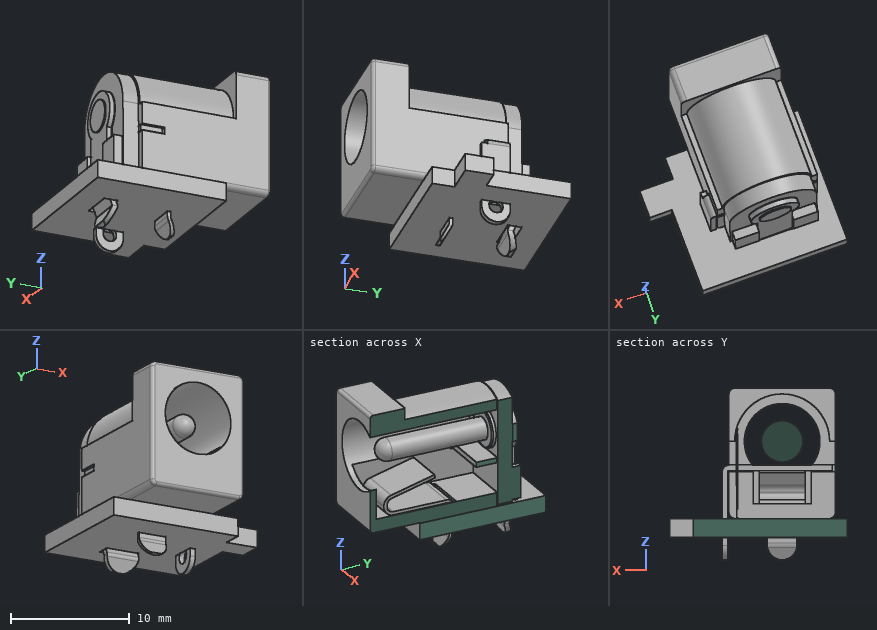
import cadquery as cq
import math


HOUSING_HALF_WIDTH = 4.5
HOUSING_LENGTH = 12.05
HOUSING_HEIGHT = 11.01
FLANGE_LENGTH = 3.3
BARREL_RADIUS = 4.0
AXIS_Z = 6.5
CORNER_RADIUS = 0.5
FRONT_EDGE_RADIUS = 0.3
BORE_RADIUS = 3.17

BOARD_THICKNESS = 1.6
BOARD_LEFT = -5.5
BOARD_REAR = 16.68
BOARD_LENGTH = 12.0
BOARD_REAR_WIDTH = 13.01
BOARD_FRONT_WIDTH = 12.0
TAB_REACH = 15.0
TAB_REAR = 9.17
TAB_FRONT = 6.67

CAP_RADIUS = 3.89
CAP_THICKNESS = 1.43
CAP_TILT = 0.6
CAP_FRONT = HOUSING_LENGTH + CAP_RADIUS * math.sin(math.radians(CAP_TILT))
CAP_BOTTOM = 0.12
LUG_BOTTOM = 0.3
LUG_TOP = 3.35
LUG_HALF_SPAN = 3.7
LUG_DEPTH = 0.8

PIN_RADIUS = 1.02
PIN_TIP_CENTRE = 2.59
SHOULDER_RADIUS = 1.77
SHOULDER_FRONT = 11.68
SHOULDER_REAR = 12.85
SHOULDER_CHAMFER = 0.12
RIVET_RADIUS = 1.42
RIVET_THICKNESS = 0.12

TERMINAL_THICKNESS = 0.5
TERMINAL_FRONT = 13.48
TERMINAL_REAR = TERMINAL_FRONT + TERMINAL_THICKNESS
TERMINAL_CENTRE = TERMINAL_FRONT + TERMINAL_THICKNESS / 2
DISC_RADIUS = 2.17
STRAP_WIDTH = 3.09
STRAP_BEND = 0.25
STRAP_LEAN = math.radians(22)
STRAP_KINK_Y = 13.18
STRAP_KINK_Z = -2.1
STRAP_END_Z = -3.39
STRAP_ROUND_HEIGHT = 1.43
STRAP_SLOT_FRONT = 12.95
STRAP_SLOT_REAR = 14.2

SPRING_WIDTH = 3.87
SPRING_TAIL_WIDTH = 2.54
SPRING_THICKNESS = 0.3
SPRING_BEND = 0.77
SPRING_SLOPE = math.radians(14)
SPRING_NOSE_Y = 1.48
SPRING_REAR_Y = 6.17
SPRING_REAR_Z = 4.02
SPRING_BASE_Z = 1.42
SPRING_TAIL_Y = 8.02
SPRING_KINK_Z = -2.2
SPRING_KINK_LEAN = math.radians(27)
SPRING_END_Z = -3.44
SPRING_ROUND_HEIGHT = 1.12

CHANNEL_HALF_WIDTH = 2.44
CHANNEL_FRONT = 0.6
CHANNEL_FLOOR = SPRING_BASE_Z - SPRING_THICKNESS / 2

BLADE_TOP = 4.52
BLADE_FRONT = 10.05
BLADE_LEFT = -4.22
SIDE_THICKNESS = 0.5
SIDE_BEND = 0.32
LEG_OUTER = 5.07
LEG_WIDTH = 2.5
LEG_BOTTOM = -3.5
LEG_HOLE_RADIUS = 0.62
LEG_HOLE_Z = -2.0
BLADE_SLOT_FRONT = 9.94
BLADE_SLOT_BOTTOM = 3.94


def block(x0, x1, y0, y1, z0, z1):
    """Box between two opposite corners."""
    return cq.Workplane("XY").box(x1 - x0, y1 - y0, z1 - z0, centered=False).translate((x0, y0, z0))


def cylinder_y(radius, y0, y1):
    """Cylinder on the jack axis from y0 to y1."""
    return cq.Workplane("XZ", origin=(0, y0, AXIS_Z)).circle(radius).extrude(y0 - y1)


def bent_strip(points, width, thickness, bend_radius, across):
    """Sheet-metal strip along a polyline whose corners are rounded; `across` is its width direction."""
    corners = [cq.Vector(*point) for point in points]
    path = cq.Wire.makePolygon(corners)
    path = path.fillet(bend_radius, path.Vertices()[1:-1])
    section = cq.Plane(origin=corners[0], xDir=across, normal=corners[1] - corners[0])
    return cq.Workplane(section).rect(width, thickness).sweep(cq.Workplane(path))


def round_ended(width, top, bottom, round_height):
    """Prism along Y with a round lower end, used to trim a terminal tail."""
    half = width / 2
    shoulder = bottom + round_height
    return (
        cq.Workplane("XZ")
        .moveTo(-half, top)
        .lineTo(-half, shoulder)
        .threePointArc((0, bottom), (half, shoulder))
        .lineTo(half, top)
        .close()
        .extrude(-BOARD_REAR)
    )


def make_board():
    front = BOARD_REAR - BOARD_LENGTH
    outline = [
        (BOARD_LEFT, front),
        (BOARD_LEFT + BOARD_FRONT_WIDTH, front),
        (BOARD_LEFT + BOARD_FRONT_WIDTH, TAB_FRONT),
        (BOARD_LEFT + TAB_REACH, TAB_FRONT),
        (BOARD_LEFT + TAB_REACH, TAB_REAR),
        (BOARD_LEFT + BOARD_REAR_WIDTH, TAB_REAR),
        (BOARD_LEFT + BOARD_REAR_WIDTH, BOARD_REAR),
        (BOARD_LEFT, BOARD_REAR),
    ]
    board = cq.Workplane("XY").polyline(outline).close().extrude(-BOARD_THICKNESS)

    def slot(x0, x1, y0, y1):
        return block(x0, x1, y0, y1, -BOARD_THICKNESS, 0)

    strap_half = STRAP_WIDTH / 2
    tail_half = SPRING_TAIL_WIDTH / 2
    tail_depth = SPRING_THICKNESS / 2
    board = board.cut(slot(-strap_half, strap_half, STRAP_SLOT_FRONT, STRAP_SLOT_REAR))
    board = board.cut(slot(-tail_half, tail_half, SPRING_TAIL_Y - tail_depth, SPRING_TAIL_Y + tail_depth))
    return board.cut(slot(LEG_OUTER - SIDE_THICKNESS, LEG_OUTER, HOUSING_LENGTH - LEG_WIDTH, HOUSING_LENGTH))


def make_housing():
    half = HOUSING_HALF_WIDTH
    body = block(-half, half, 0, HOUSING_LENGTH, 0, HOUSING_HEIGHT)
    body = body.edges("|Y").fillet(CORNER_RADIUS)
    body = body.faces("<Y").edges().fillet(FRONT_EDGE_RADIUS)

    barrel = cylinder_y(BARREL_RADIUS, FLANGE_LENGTH, HOUSING_LENGTH)
    above_axis = block(-half, half, FLANGE_LENGTH, HOUSING_LENGTH, AXIS_Z, HOUSING_HEIGHT)
    body = body.cut(above_axis.cut(barrel))

    body = body.cut(cylinder_y(BORE_RADIUS, 0, HOUSING_LENGTH))

    channel = block(
        -CHANNEL_HALF_WIDTH, CHANNEL_HALF_WIDTH, CHANNEL_FRONT, HOUSING_LENGTH, CHANNEL_FLOOR, AXIS_Z
    )
    tail_opening = block(
        -SPRING_WIDTH / 2, SPRING_WIDTH / 2,
        SPRING_TAIL_Y - SPRING_BEND, SPRING_TAIL_Y + SPRING_THICKNESS / 2,
        0, CHANNEL_FLOOR,
    )
    body = body.cut(channel).cut(tail_opening)

    return body.cut(block(-half, half, BLADE_SLOT_FRONT, HOUSING_LENGTH, BLADE_SLOT_BOTTOM, BLADE_TOP))


def make_pin():
    profile = (
        cq.Workplane("XY")
        .moveTo(0, PIN_TIP_CENTRE - PIN_RADIUS)
        .radiusArc((PIN_RADIUS, PIN_TIP_CENTRE), -PIN_RADIUS)
        .lineTo(PIN_RADIUS, SHOULDER_FRONT)
        .lineTo(SHOULDER_RADIUS - SHOULDER_CHAMFER, SHOULDER_FRONT)
        .lineTo(SHOULDER_RADIUS, SHOULDER_FRONT + SHOULDER_CHAMFER)
        .lineTo(SHOULDER_RADIUS, SHOULDER_REAR)
        .lineTo(PIN_RADIUS, SHOULDER_REAR)
        .lineTo(PIN_RADIUS, TERMINAL_REAR)
        .lineTo(RIVET_RADIUS, TERMINAL_REAR)
        .lineTo(RIVET_RADIUS, TERMINAL_REAR + RIVET_THICKNESS)
        .lineTo(0, TERMINAL_REAR + RIVET_THICKNESS)
        .close()
    )
    return profile.revolve(360, (0, 0), (0, 1)).translate((0, 0, AXIS_Z))


def make_pin_terminal():
    """Disc riveted to the pin, with a strap that runs down to a kinked tail."""
    kink_start_z = STRAP_KINK_Z + (TERMINAL_CENTRE - STRAP_KINK_Y) / math.tan(STRAP_LEAN)
    end_y = STRAP_KINK_Y + (STRAP_KINK_Z - STRAP_END_Z) * math.tan(STRAP_LEAN)
    centreline = [
        (0, TERMINAL_CENTRE, AXIS_Z),
        (0, TERMINAL_CENTRE, kink_start_z),
        (0, STRAP_KINK_Y, STRAP_KINK_Z),
        (0, end_y, STRAP_END_Z),
    ]
    strap = bent_strip(centreline, STRAP_WIDTH, TERMINAL_THICKNESS, STRAP_BEND, (1, 0, 0))
    end_drop = TERMINAL_THICKNESS / 2 * math.sin(STRAP_LEAN)
    strap = strap.intersect(
        round_ended(STRAP_WIDTH, AXIS_Z, STRAP_END_Z - end_drop, STRAP_ROUND_HEIGHT)
    )
    terminal = cylinder_y(DISC_RADIUS, TERMINAL_FRONT, TERMINAL_REAR).union(strap)
    return terminal.cut(cylinder_y(PIN_RADIUS, TERMINAL_FRONT, TERMINAL_REAR))


def make_cap(pin, pin_terminal):
    """Round-topped plate with two lugs, fitted round the pin and its terminal."""
    cap_rear = CAP_FRONT + CAP_THICKNESS
    cap = cylinder_y(CAP_RADIUS, CAP_FRONT, cap_rear)
    cap = cap.union(block(-CAP_RADIUS, CAP_RADIUS, CAP_FRONT, cap_rear, CAP_BOTTOM, AXIS_Z))
    cap = cap.union(
        block(-LUG_HALF_SPAN, LUG_HALF_SPAN, cap_rear, cap_rear + LUG_DEPTH, LUG_BOTTOM, LUG_TOP)
    )
    pivot = cq.Vector(0, CAP_FRONT, AXIS_Z)
    cap = cap.rotate(pivot, pivot + cq.Vector(0, 0.17, 0), CAP_TILT)
    cap = cap.rotate(pivot, pivot + cq.Vector(0, 0, 0.17), -CAP_TILT)

    half = STRAP_WIDTH / 2
    groove = block(-half, half, TERMINAL_FRONT, BOARD_REAR, 0, AXIS_Z)
    return cap.cut(groove).cut(pin).cut(pin_terminal)


def make_spring():
    """Leaf that slopes up to the rear, folds under at its nose and ends in a tail through the board."""
    nose_top_z = SPRING_REAR_Z - (SPRING_REAR_Y - SPRING_NOSE_Y) * math.tan(SPRING_SLOPE)
    end_y = SPRING_TAIL_Y - (SPRING_KINK_Z - SPRING_END_Z) * math.tan(SPRING_KINK_LEAN)
    centreline = [
        (0, SPRING_REAR_Y, SPRING_REAR_Z),
        (0, SPRING_NOSE_Y, nose_top_z),
        (0, SPRING_NOSE_Y, SPRING_BASE_Z),
        (0, SPRING_TAIL_Y, SPRING_BASE_Z),
        (0, SPRING_TAIL_Y, SPRING_KINK_Z),
        (0, end_y, SPRING_END_Z),
    ]
    strip = bent_strip(centreline, SPRING_WIDTH, SPRING_THICKNESS, SPRING_BEND, (1, 0, 0))
    end_drop = SPRING_THICKNESS / 2 * math.sin(SPRING_KINK_LEAN)
    half = SPRING_WIDTH / 2
    leaf_zone = block(-half, half, 0, BOARD_REAR, 0, AXIS_Z)
    tail_zone = round_ended(SPRING_TAIL_WIDTH, 0, SPRING_END_Z - end_drop, SPRING_ROUND_HEIGHT)
    return strip.intersect(leaf_zone.union(tail_zone))


def make_side_contact():
    """Blade across the bore, bent down outside the housing into a wide leg with an eye."""
    blade_width = HOUSING_LENGTH - BLADE_FRONT
    blade_y = BLADE_FRONT + blade_width / 2
    blade_z = BLADE_TOP - SIDE_THICKNESS / 2
    leg_x = LEG_OUTER - SIDE_THICKNESS / 2
    leg_top = BLADE_TOP - SIDE_THICKNESS / 2 - SIDE_BEND
    centreline = [(BLADE_LEFT, blade_y, blade_z), (leg_x, blade_y, blade_z), (leg_x, blade_y, 0)]
    blade = bent_strip(centreline, blade_width, SIDE_THICKNESS, SIDE_BEND, (0, 1, 0))

    leg_radius = LEG_WIDTH / 2
    leg_y = HOUSING_LENGTH - leg_radius
    round_z = LEG_BOTTOM + leg_radius
    leg = block(
        LEG_OUTER - SIDE_THICKNESS, LEG_OUTER, HOUSING_LENGTH - LEG_WIDTH, HOUSING_LENGTH, round_z, leg_top
    )
    leg_plane = cq.Workplane("YZ", origin=(LEG_OUTER - SIDE_THICKNESS, leg_y, 0))
    leg = leg.union(leg_plane.center(0, round_z).circle(leg_radius).extrude(SIDE_THICKNESS))
    eye = leg_plane.center(0, LEG_HOLE_Z).circle(LEG_HOLE_RADIUS).extrude(SIDE_THICKNESS)
    return blade.union(leg).cut(eye)


board = make_board()
housing = make_housing()
pin = make_pin()
pin_terminal = make_pin_terminal()
cap = make_cap(pin, pin_terminal)
spring = make_spring()
side_contact = make_side_contact()

bodies = [board, housing, pin, pin_terminal, cap, spring, side_contact]
result = cq.Compound.makeCompound([body.solids().val() for body in bodies])